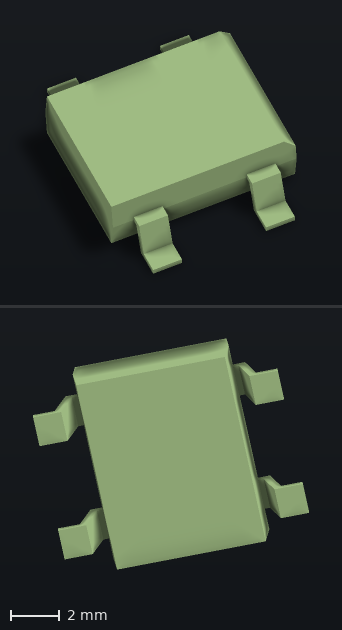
import cadquery as cq
import math

body_length = 8.3
face_width = 6.2
body_height = 2.5
side_taper = 7.0
standoff = 0.2
edge_chamfer = 0.5

lead_span = 10.2
lead_width = 1.3
lead_thickness = 0.25
lead_pitch = 5.1
shoulder_top = 1.62
foot_top_length = 0.9
foot_bottom_length = 1.17
slope_run = 0.45
lead_embed = 0.5

body_top = standoff + body_height
parting_z = standoff + body_height / 2
waist_width = face_width + body_height * math.tan(math.radians(side_taper))


def make_body():
    """Body tapering from its waist to both faces, with one bevelled end edge."""
    outline = [
        (-face_width / 2, standoff),
        (face_width / 2, standoff),
        (waist_width / 2, parting_z),
        (face_width / 2, body_top),
        (-face_width / 2, body_top),
        (-waist_width / 2, parting_z),
    ]
    block = cq.Workplane("XZ").polyline(outline).close().extrude(body_length / 2, both=True)
    return block.faces(">Z").edges(">Y").chamfer(edge_chamfer)


def make_lead(side, center_y):
    """Gull-wing lead; side is +1 for the +X row and -1 for the -X row."""
    tip = lead_span / 2
    root = waist_width / 2 - lead_embed
    upper_foot_bend = tip - foot_top_length
    lower_foot_bend = tip - foot_bottom_length
    outline = [
        (root, shoulder_top),
        (upper_foot_bend - slope_run, shoulder_top),
        (upper_foot_bend, lead_thickness),
        (tip, lead_thickness),
        (tip, 0),
        (lower_foot_bend, 0),
        (lower_foot_bend - slope_run, shoulder_top - lead_thickness),
        (root, shoulder_top - lead_thickness),
    ]
    profile = [(side * x, z) for x, z in outline]
    lead = cq.Workplane("XZ").polyline(profile).close().extrude(lead_width / 2, both=True)
    return lead.translate((0, center_y, 0))


result = make_body()
for side in (-1, 1):
    for center_y in (-lead_pitch / 2, lead_pitch / 2):
        result = result.union(make_lead(side, center_y))